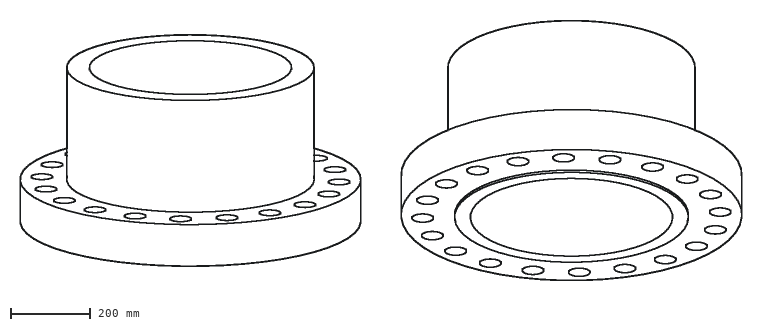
import cadquery as cq

flange_diameter = 857.0
total_height = 406.0

flange_thickness = 109.0
face_diameter = 588.0
face_height = 6.0

hub_diameter = 622.0
bore_diameter = 508.0

bolt_count = 20
bolt_circle_diameter = 749.0
bolt_hole_diameter = 54.0

flange_top = face_height + flange_thickness


def cylinder(diameter, bottom, top):
    """Upright cylinder on the part axis between two heights."""
    return cq.Workplane("XY").workplane(offset=bottom).circle(diameter / 2).extrude(top - bottom)


def bolt_holes():
    """Ring of evenly spaced through-hole cutters, the first on the +X axis."""
    return (
        cq.Workplane("XY")
        .polarArray(bolt_circle_diameter / 2, 0, 360, bolt_count)
        .circle(bolt_hole_diameter / 2)
        .extrude(flange_top)
    )


raised_face = cylinder(face_diameter, 0, face_height)
flange = cylinder(flange_diameter, face_height, flange_top)
hub = cylinder(hub_diameter, flange_top, total_height)
bore = cylinder(bore_diameter, 0, total_height)

result = raised_face.union(flange).union(hub).cut(bore).cut(bolt_holes())